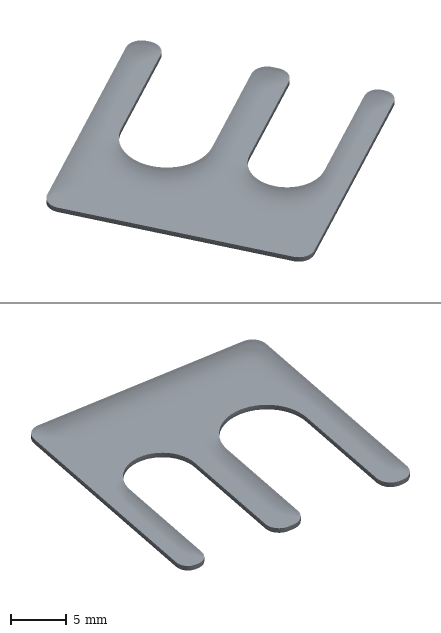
import cadquery as cq

side = 25.4
thickness = 0.5
corner_radius = 1.5

left_tine_width = 3.3
left_slot_width = 8.64
middle_tine_width = 3.55
right_slot_width = 7.1
right_tine_width = side - left_tine_width - left_slot_width - middle_tine_width - right_slot_width
slot_end_y = 0.0

right_tip_flat = 0.25
right_tip_radius = (right_tine_width - right_tip_flat) / 2

margin = 0.25

half = side / 2
left_slot_start = -half + left_tine_width
right_slot_start = left_slot_start + left_slot_width + middle_tine_width
right_tine_start = right_slot_start + right_slot_width


def slot_cutter(start_x, width):
    """Round-ended slot, open towards +Y."""
    end_x = start_x + width
    return (
        cq.Workplane("XY")
        .moveTo(start_x, half)
        .lineTo(start_x, slot_end_y)
        .threePointArc((start_x + width / 2, slot_end_y - width / 2), (end_x, slot_end_y))
        .lineTo(end_x, half)
        .close()
        .extrude(thickness)
    )


def round_tips(body, start_x, end_x, radius):
    """Round the +Y corners of the tines lying between start_x and end_x."""
    tip_corners = cq.selectors.BoxSelector(
        (start_x - margin, half - margin, -margin),
        (end_x + margin, half + margin, thickness + margin),
    )
    return body.edges("|Z").edges(tip_corners).fillet(radius)


plate = cq.Workplane("XY").rect(side, side).extrude(thickness)
plate = plate.cut(slot_cutter(left_slot_start, left_slot_width))
plate = plate.cut(slot_cutter(right_slot_start, right_slot_width))

plate = plate.edges("|Z and <Y").fillet(corner_radius)
plate = round_tips(plate, -half, right_slot_start, corner_radius)
result = round_tips(plate, right_tine_start, half, right_tip_radius)